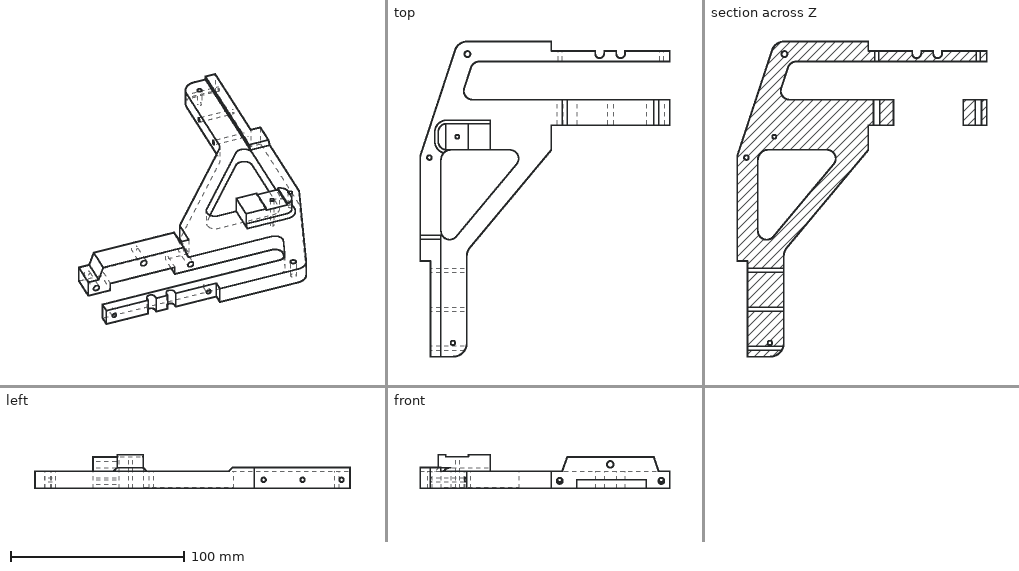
import cadquery as cq
import math

plate_thickness = 10.0
overall_width = 144.4
overall_depth = 182.21
shoulder_x = 75.9
left_edge_top_y = 115.8
lean_slope = 3.04
lean_bend_radius = 5.5
lean_top_radius = 7.5

rear_arm_back_y = 176.7
rear_arm_front_y = 170.5
cable_notch_width = 5.0
cable_notch_bottom_y = 172.6
cable_notch_x = (103.8, 115.9)

slot_front_y = 148.6
slot_wall_width = 12.0
slot_radius = 5.0

front_arm_front_y = 133.7
block_top_z = 18.2
block_bottom_x = (82.1, 137.9)
block_top_x = (85.0, 135.1)
underside_notch_x = (90.5, 130.6)
underside_notch_height = 5.0

brace_top_y = 119.5
brace_slope = 1.2
leg_right_x = 27.1
leg_step_x = 6.0
leg_step_y = 55.3
leg_corner_radius = 8.0
brace_bend_radius = 7.5

pad_right_x = 12.1
pad_top_z = 12.2
pad_back_y = 67.9

pocket_floor_z = 0.8
pocket_radius = 5.0
pocket_square_corner_radius = 5.7
brace_width = 10.2

boss_left_x = 10.5
boss_right_x = 40.7
boss_back_y = 134.7
boss_top_z = 19.5
boss_radius = 5.0
boss_seat_z = 18.4
boss_seat_x = (14.9, 28.0)
skirt_size = 2.0

upright_holes = ((27.4, 174.9, 3.3), (5.4, 115.1, 2.6), (19.0, 8.0, 2.5), (21.5, 127.1, 2.2))
leg_hole_y = (5.0, 27.5, 50.0)
leg_hole_z = plate_thickness / 2
leg_hole_diameter = 2.5
arm_hole_x = (80.7, 139.4)
rear_arm_hole_z = plate_thickness / 2
rear_arm_hole_diameter = 2.5
front_arm_hole_z = 4.3
front_arm_hole_diameter = 3.5
block_hole_x = 109.9
block_hole_z = 13.9
block_hole_diameter = 3.7


def box(x_range, y_range, z_range):
    """Box between the given limits."""
    size = [high - low for low, high in (x_range, y_range, z_range)]
    return cq.Workplane("XY").box(*size, centered=False).translate((x_range[0], y_range[0], z_range[0]))


def prism(points, height, base_z=0.0):
    """Upright prism over a closed XY outline."""
    return cq.Workplane("XY").workplane(offset=base_z).polyline(points).close().extrude(height)


def round_corner(body, point, radius):
    """Round the upright edge that passes through the given XY point."""
    reach = 0.5
    x, y = point
    near = cq.selectors.BoxSelector(
        (x - reach, y - reach, -overall_depth), (x + reach, y + reach, overall_depth)
    )
    return body.edges("|Z").edges(near).fillet(radius)


def hole_along_y(x, z, diameter, y_range):
    """Cylinder along Y between two Y limits."""
    low, high = y_range
    return (
        cq.Workplane("XZ", origin=(0, low, 0)).center(x, z).circle(diameter / 2).extrude(low - high)
    )


def make_plate():
    """Flat plate with both arms, the brace and the leg."""
    lean_bend = (0, left_edge_top_y)
    lean_top = ((overall_depth - left_edge_top_y) / lean_slope, overall_depth)
    brace_bend = (leg_right_x, brace_top_y - brace_slope * (shoulder_x - leg_right_x))
    leg_corner = (leg_right_x, 0)
    plate = prism(
        [
            (leg_step_x, 0),
            leg_corner,
            brace_bend,
            (shoulder_x, brace_top_y),
            (shoulder_x, front_arm_front_y),
            (overall_width, front_arm_front_y),
            (overall_width, rear_arm_back_y),
            (shoulder_x, rear_arm_back_y),
            (shoulder_x, overall_depth),
            lean_top,
            lean_bend,
            (0, leg_step_y),
            (leg_step_x, leg_step_y),
        ],
        plate_thickness,
    )
    plate = round_corner(plate, lean_bend, lean_bend_radius)
    plate = round_corner(plate, lean_top, lean_top_radius)
    plate = round_corner(plate, brace_bend, brace_bend_radius)
    return round_corner(plate, leg_corner, leg_corner_radius)


def make_slot():
    """Slot between the arms, open to the right, with a left wall parallel to the leaning edge."""
    wall_run = slot_wall_width * math.hypot(1, lean_slope) / lean_slope

    def wall_x(y):
        return wall_run + (y - left_edge_top_y) / lean_slope

    front_corner = (wall_x(slot_front_y), slot_front_y)
    back_corner = (wall_x(rear_arm_front_y), rear_arm_front_y)
    slot = prism(
        [front_corner, (overall_width, slot_front_y), (overall_width, rear_arm_front_y), back_corner],
        plate_thickness,
    )
    slot = round_corner(slot, front_corner, slot_radius)
    return round_corner(slot, back_corner, slot_radius)


def make_cable_notch(x):
    """Round-bottomed notch in the back of the rear arm."""
    radius = cable_notch_width / 2
    centre_y = cable_notch_bottom_y + radius
    notch = cq.Workplane("XY").center(x, centre_y).circle(radius).extrude(plate_thickness)
    return notch.union(
        box((x - radius, x + radius), (centre_y, rear_arm_back_y), (0, plate_thickness))
    )


def make_block():
    """Raised block with sloping ends on the front arm."""
    profile = [
        (block_bottom_x[0], plate_thickness),
        (block_bottom_x[1], plate_thickness),
        (block_top_x[1], block_top_z),
        (block_top_x[0], block_top_z),
    ]
    return (
        cq.Workplane("XZ", origin=(0, front_arm_front_y, 0))
        .polyline(profile)
        .close()
        .extrude(front_arm_front_y - slot_front_y)
    )


def make_pad():
    """Raised pad on the leg, ending in a 45 degree ramp."""
    ramp_end_y = pad_back_y + pad_top_z - plate_thickness
    profile = [
        (0, plate_thickness),
        (ramp_end_y, plate_thickness),
        (pad_back_y, pad_top_z),
        (0, pad_top_z),
    ]
    pad = cq.Workplane("YZ").polyline(profile).close().extrude(pad_right_x)
    return pad.cut(box((0, leg_step_x), (0, leg_step_y), (plate_thickness, pad_top_z)))


def make_pocket():
    """Triangular pocket, tall enough to trim the boss skirt as well."""
    edge_shift = brace_width * math.hypot(1, brace_slope) / brace_slope
    right_x = shoulder_x - edge_shift
    left_back = (pad_right_x, brace_top_y)
    right_back = (right_x, brace_top_y)
    foot = (pad_right_x, brace_top_y - brace_slope * (right_x - pad_right_x))
    pocket = prism([left_back, foot, right_back], boss_top_z - pocket_floor_z, pocket_floor_z)
    pocket = round_corner(pocket, left_back, pocket_square_corner_radius)
    for corner in (foot, right_back):
        pocket = round_corner(pocket, corner, pocket_radius)
    return pocket


def make_skirt():
    """45 degree skirt around the foot of the boss, cut off flush with its right end."""
    left_x = boss_left_x - skirt_size
    right_x = boss_right_x + skirt_size
    front_y = brace_top_y - skirt_size
    back_y = boss_back_y + skirt_size
    skirt_top_z = plate_thickness + skirt_size
    skirt = box((left_x, right_x), (front_y, back_y), (plate_thickness, boss_top_z))
    for corner_y in (front_y, back_y):
        skirt = round_corner(skirt, (left_x, corner_y), boss_radius + skirt_size)
    skirt = skirt.faces("<Z").wires().toPending().workplane(invert=True).extrude(
        skirt_size, combine=False, taper=45
    )
    return skirt.intersect(box((left_x, boss_right_x), (front_y, back_y), (plate_thickness, skirt_top_z)))


def make_boss():
    """Boss with a rounded left end, a lowered seat on top and a skirt."""
    boss = box((boss_left_x, boss_right_x), (brace_top_y, boss_back_y), (plate_thickness, boss_top_z))
    for corner_y in (brace_top_y, boss_back_y):
        boss = round_corner(boss, (boss_left_x, corner_y), boss_radius)
    seat = box(boss_seat_x, (brace_top_y, boss_back_y), (boss_seat_z, boss_top_z))
    return boss.cut(seat).union(make_skirt())


def make_underside_notch():
    """Notch across the underside of the front arm."""
    return box(underside_notch_x, (front_arm_front_y, slot_front_y), (0, underside_notch_height))


def make_holes():
    """All drilled holes, as a list of cylinders."""
    front_arm_range = (front_arm_front_y, slot_front_y)
    rear_arm_range = (rear_arm_front_y, overall_depth)
    holes = [hole_along_y(block_hole_x, block_hole_z, block_hole_diameter, front_arm_range)]
    for x in arm_hole_x:
        holes.append(hole_along_y(x, front_arm_hole_z, front_arm_hole_diameter, front_arm_range))
        holes.append(hole_along_y(x, rear_arm_hole_z, rear_arm_hole_diameter, rear_arm_range))
    for x, y, diameter in upright_holes:
        holes.append(cq.Workplane("XY").center(x, y).circle(diameter / 2).extrude(boss_top_z))
    for y in leg_hole_y:
        leg_side = cq.Workplane("YZ").center(y, leg_hole_z)
        holes.append(leg_side.circle(leg_hole_diameter / 2).extrude(leg_right_x))
    return holes


result = make_plate().cut(make_slot())
for raised_part in (make_block(), make_pad(), make_boss()):
    result = result.union(raised_part)
result = result.cut(make_pocket()).cut(make_underside_notch())
for notch_x in cable_notch_x:
    result = result.cut(make_cable_notch(notch_x))
for hole in make_holes():
    result = result.cut(hole)